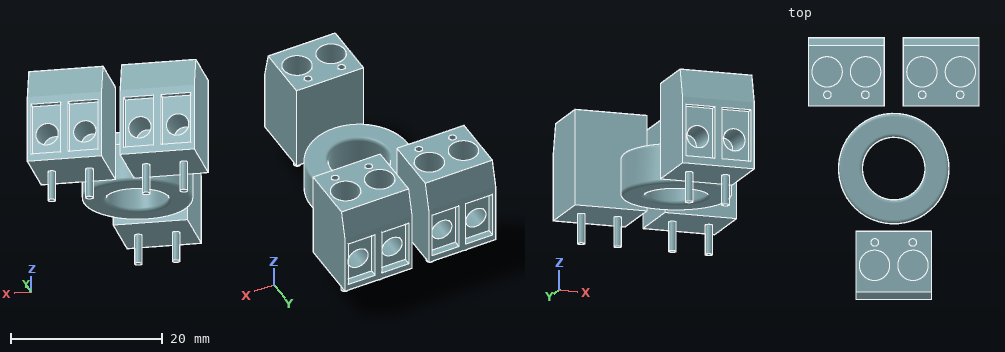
import cadquery as cq

layout_length = 34.5
rear_block_spacing = 12.5

housing_width = 10.0
housing_height = 13.0
housing_depth = 9.0
bevel_height = 4.0
bevel_depth = 1.0
wire_face_y = -layout_length / 2
back_face_y = wire_face_y + housing_depth

terminal_pitch = 5.07
terminal_y = wire_face_y + housing_depth / 2
screw_hole_diameter = 4.0
screw_hole_depth = 5.0

pocket_pitch = housing_width / 2
test_hole_diameter = 1.0
test_hole_depth = screw_hole_depth
test_hole_inset = 1.5
test_hole_y = back_face_y - test_hole_inset

pocket_width = 4.0
pocket_height = 7.0
pocket_depth = 1.0
pocket_sill = 1.0
wire_hole_diameter = 3.0
wire_hole_depth = 5.0
wire_hole_z = 4.0

pin_diameter = 1.0
pin_length = 4.0
pin_row_distance = 12.7
rear_pin_spacing = 12.7

core_outer_diameter = 14.6
core_inner_diameter = 8.2
core_height = 5.5
core_edge_radius = 0.5


def pair(pitch):
    """X positions of two features spaced evenly about the block centre."""
    return [-pitch / 2, pitch / 2]


def make_housing_blank():
    """Box with a sloped upper front face, extruded across the block width."""
    outline = [
        (wire_face_y, 0),
        (back_face_y, 0),
        (back_face_y, housing_height),
        (wire_face_y + bevel_depth, housing_height),
        (wire_face_y, housing_height - bevel_height),
    ]
    return cq.Workplane("YZ").polyline(outline).close().extrude(housing_width / 2, both=True)


def make_top_hole(x, y, diameter, depth):
    """Cutter for a blind hole sunk from the top face."""
    floor = cq.Workplane("XY", origin=(x, y, housing_height - depth))
    return floor.circle(diameter / 2).extrude(depth)


def make_wire_pocket(x):
    """Cutter for the rectangular recess in the wire face."""
    pocket = cq.Workplane("XY").box(pocket_width, pocket_depth, pocket_height, centered=(True, False, False))
    return pocket.translate((x, wire_face_y, pocket_sill))


def make_wire_hole(x):
    """Cutter for the round hole running in from the wire face."""
    depth_from_face = pocket_depth + wire_hole_depth
    end = cq.Workplane("XZ", origin=(x, wire_face_y + depth_from_face, wire_hole_z))
    return end.circle(wire_hole_diameter / 2).extrude(depth_from_face)


def make_housing():
    """Two-pole terminal housing with its wire face at the -Y end."""
    housing = make_housing_blank()
    for x in pair(terminal_pitch):
        housing = housing.cut(make_top_hole(x, terminal_y, screw_hole_diameter, screw_hole_depth))
        housing = housing.cut(make_wire_hole(x))
    for x in pair(pocket_pitch):
        housing = housing.cut(make_top_hole(x, test_hole_y, test_hole_diameter, test_hole_depth))
        housing = housing.cut(make_wire_pocket(x))
    return housing


def make_pin(x):
    """Solder pin hanging from the housing underside."""
    return cq.Workplane("XY", origin=(x, -pin_row_distance, 0)).circle(pin_diameter / 2).extrude(-pin_length)


def make_core():
    """Ring core with all four circular edges rounded."""
    ring = cq.Workplane("XY").circle(core_outer_diameter / 2).circle(core_inner_diameter / 2)
    return ring.extrude(core_height).edges("%CIRCLE").fillet(core_edge_radius)


def place_block_part(part, x, turn):
    """Turn a block's part about the layout centre, then shift it along X."""
    return part.rotate((0, 0, 0), (0, 0, 1), turn).translate((x, 0, 0))


rear_housing_x = rear_block_spacing / 2
rear_pins_x = rear_pin_spacing / 2
block_placements = [
    (0, 0, 0),
    (-rear_housing_x, -rear_pins_x, 180),
    (rear_housing_x, rear_pins_x, 180),
]

core = make_core()
housings = []
pins = []
for housing_x, pin_pair_x, turn in block_placements:
    housings.append(place_block_part(make_housing(), housing_x, turn).val())
    for pin_x in pair(terminal_pitch):
        pins.append(place_block_part(make_pin(pin_x), pin_pair_x, turn).val())

result = cq.Compound.makeCompound([core.val(), *housings, *pins])